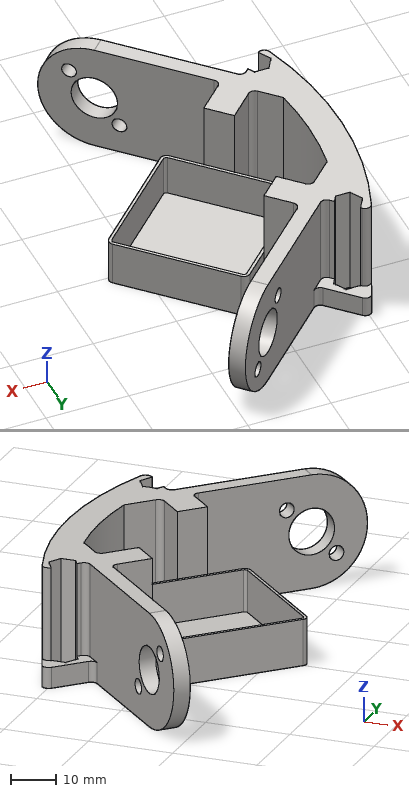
import cadquery as cq
import math

FRAME_ANGLE = 45.0

height = 27.0
flange_height = 5.0
tray_height = 11.0

tray_side = 33.6
tray_half = tray_side / 2
tray_corner = 1.5
tray_wall = 0.75
tray_floor = 1.0

arm_thickness = 4.0
upper_inner = 25.3
lower_inner = 26.75
upper_outer = upper_inner + arm_thickness
lower_outer = lower_inner + arm_thickness
upper_reach = 49.4
lower_reach = 50.55
arm_end_radius = height / 2
bore_diameter = 11.0
screw_diameter = 3.5
screw_offset = 6.0

post_near = -0.3
post_far = 7.0

wall_radius = 86.0
wall_thickness = 7.5
wall_front_x = -32.99
wall_center_x = wall_front_x + wall_radius
wall_center_y = (upper_inner - lower_inner) / math.sqrt(2)
wall_edge = 3.1
flange_edge = post_far
corner_radius = 1.5

hex_flats = 6.0
hex_edge_distance = 2.2
hex_upper_distance = 34.9
hex_lower_distance = 36.15


def block(p_min, p_max, q_min, q_max, block_height):
    """Upright block standing on Z = 0."""
    return (
        cq.Workplane("XY")
        .box(p_max - p_min, q_max - q_min, block_height, centered=False)
        .translate((p_min, q_min, 0))
    )


def wall_disc(radius, disc_height):
    """Cylinder about the axis of the curved wall, placed in the turned frame."""
    return (
        cq.Workplane("XY")
        .center(wall_center_x, wall_center_y)
        .circle(radius)
        .extrude(disc_height)
        .rotate((0, 0, 0), (0, 0, 1), -FRAME_ANGLE)
    )


def round_upright_edges(body, points, radius):
    """Round the upright edges standing at the given (p, q) points."""
    margin = 0.1
    for p, q in points:
        window = cq.selectors.BoxSelector(
            (p - margin, q - margin, 0), (p + margin, q + margin, height)
        )
        body = body.edges("|Z").edges(window).fillet(radius)
    return body


def wall_tip(edge, center_along, center_across):
    """Distance across the wall end at which its edge line meets the outer arc."""
    return center_across + math.sqrt(wall_radius**2 - (edge - center_along) ** 2)


def frame_layer(edge, layer_height):
    """Curved wall ending at `edge`, with arms and posts, up to one height."""
    far = 2 * wall_radius
    wall = wall_disc(wall_radius, layer_height).intersect(
        block(-far, edge, -edge, far, layer_height)
    )
    opening = wall_disc(wall_radius - wall_thickness, layer_height).intersect(
        block(-lower_inner, far, -far, upper_inner, layer_height)
    )
    layer = wall.cut(opening)

    layer = layer.union(
        block(post_near, upper_reach, upper_inner, upper_outer, layer_height)
    )
    layer = layer.union(
        block(-lower_outer, -lower_inner, -lower_reach, -post_near, layer_height)
    )
    layer = layer.union(
        block(post_near, post_far, tray_half, upper_inner, layer_height)
    )
    layer = layer.union(
        block(-lower_inner, -tray_half, -post_far, -post_near, layer_height)
    )
    layer = layer.clean()

    center_p = (wall_center_x + wall_center_y) / math.sqrt(2)
    center_q = (wall_center_y - wall_center_x) / math.sqrt(2)
    upper_tip = wall_tip(edge, center_p, center_q)
    lower_tip = wall_tip(edge, -center_q, -center_p)
    corners = [
        (edge, upper_tip),
        (-lower_tip, -edge),
        (edge, upper_outer),
        (-lower_outer, -edge),
        (post_far, upper_inner),
        (-lower_inner, -post_far),
        (post_near, upper_inner),
        (-lower_inner, -post_near),
    ]
    return round_upright_edges(layer, corners, corner_radius)


def arm_cutter(reach, screw_rise):
    """Everything to remove from an arm lying along +X: corners, bore and screw holes.

    `screw_rise` is the height of the outer screw hole above the bore.
    """
    depth = 2 * max(upper_outer, lower_outer)
    center_along = reach - arm_end_radius
    center_z = height / 2
    end_square = block(center_along, reach, -depth, depth, height)
    end_round = (
        cq.Workplane("XZ")
        .center(center_along, center_z)
        .circle(arm_end_radius)
        .extrude(depth, both=True)
    )
    bore = (
        cq.Workplane("XZ")
        .center(center_along, center_z)
        .circle(bore_diameter / 2)
        .extrude(depth, both=True)
    )
    screws = (
        cq.Workplane("XZ")
        .center(center_along, center_z)
        .pushPoints([(screw_offset, screw_rise), (-screw_offset, -screw_rise)])
        .circle(screw_diameter / 2)
        .extrude(depth, both=True)
    )
    return end_square.cut(end_round).union(bore).union(screws)


def hex_hole(p, q):
    """Upright hexagonal cutter whose flats face along Y once the part is turned."""
    hex_corners = hex_flats / math.cos(math.pi / 6)
    return (
        cq.Workplane("XY")
        .polygon(6, hex_corners)
        .extrude(height)
        .rotate((0, 0, 0), (0, 0, 1), -FRAME_ANGLE)
        .translate((p, q, 0))
    )


def tray():
    """Square tray, open at the top."""
    inner_side = tray_side - 2 * tray_wall
    cavity = (
        cq.Workplane("XY")
        .workplane(offset=tray_floor)
        .rect(inner_side, inner_side)
        .extrude(tray_height - tray_floor)
        .edges("|Z")
        .fillet(tray_corner - tray_wall)
    )
    return (
        cq.Workplane("XY")
        .rect(tray_side, tray_side)
        .extrude(tray_height)
        .edges("|Z")
        .fillet(tray_corner)
        .cut(cavity)
    )


bracket = frame_layer(wall_edge, height).union(frame_layer(flange_edge, flange_height))

bracket = bracket.cut(arm_cutter(upper_reach, -screw_offset))
lower_arm_cutter = arm_cutter(lower_reach, screw_offset).rotate((0, 0, 0), (0, 0, 1), -90)
bracket = bracket.cut(lower_arm_cutter)

bracket = bracket.cut(hex_hole(hex_edge_distance, hex_upper_distance))
bracket = bracket.cut(hex_hole(-hex_lower_distance, -hex_edge_distance))

bracket = bracket.union(tray())

result = bracket.rotate((0, 0, 0), (0, 0, 1), FRAME_ANGLE)